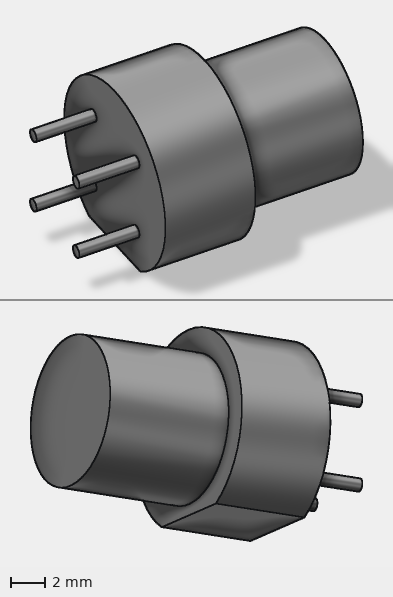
import cadquery as cq

total_length = 18.0
pin_length = 4.0
base_length = 6.0
barrel_length = total_length - pin_length - base_length

base_diameter = 12.0
barrel_diameter = 9.0
flat_distance = 5.17

pin_diameter = 0.8
pin_spacing = 5.08


def cylinder_along_y(diameter, start_y, length):
    """Cylinder on the Y axis, running from start_y toward +Y."""
    plane = cq.Workplane("XZ", origin=(0, start_y, 0))
    return plane.circle(diameter / 2).extrude(-length)


def make_base():
    """Round base with its underside cut flat."""
    base = cylinder_along_y(base_diameter, 0, base_length)
    keep_height = flat_distance + base_diameter / 2
    keep_box = cq.Workplane("XY", origin=(0, 0, -flat_distance)).box(
        base_diameter, base_length, keep_height, centered=(True, False, False)
    )
    return base.intersect(keep_box)


def make_pins():
    """Four pins in a square pattern, standing out of the base toward -Y."""
    return (
        cq.Workplane("XZ")
        .rarray(pin_spacing, pin_spacing, 2, 2)
        .circle(pin_diameter / 2)
        .extrude(pin_length)
    )


barrel = cylinder_along_y(barrel_diameter, base_length, barrel_length)
result = make_base().union(barrel).union(make_pins())